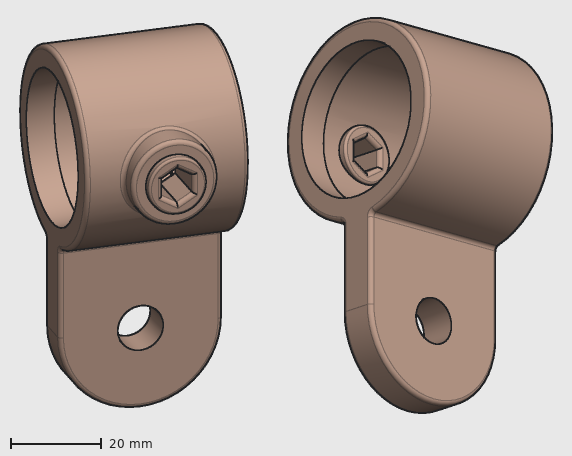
import cadquery as cq
import math

overall_width = 53.0
overall_height = 85.5

tube_diameter = 46.0
tube_length = 38.0
bore_diameter = 35.6

relief_diameter = 38.0
lip_length = 6.5

tab_thickness = 9.0
tab_end_radius = tube_length / 2
tab_hole_diameter = 10.5
tab_bottom_z = tube_diameter / 2 - overall_height
tab_hole_z = tab_bottom_z + tab_end_radius

boss_diameter = 20.0
boss_end_x = 28.05

edge_radius = 1.0

screw_diameter = 13.5
screw_inner_x = 17.0
screw_outer_x = overall_width - tube_diameter / 2
screw_edge_radius = 0.6
hexagon_edge_radius = 1.0
hexagon_across_flats = 7.0


def cylinder_along_y(diameter, length):
    """Cylinder on the Y axis, centred on the origin."""
    return cq.Workplane("XZ").circle(diameter / 2).extrude(length / 2, both=True)


def cylinder_along_x(diameter, start_x, end_x):
    """Cylinder on the X axis between two X positions."""
    return cq.Workplane("YZ").workplane(offset=start_x).circle(diameter / 2).extrude(end_x - start_x)


def make_tab():
    """Plate with a round lower end, reaching up to the tube axis."""
    return (
        cq.Workplane("YZ")
        .moveTo(-tab_end_radius, 0)
        .lineTo(-tab_end_radius, tab_hole_z)
        .threePointArc((0, tab_bottom_z), (tab_end_radius, tab_hole_z))
        .lineTo(tab_end_radius, 0)
        .close()
        .extrude(tab_thickness / 2, both=True)
    )


def make_clamp_outside():
    """Tube with tab, blended together and with all outer edges rounded."""
    body = cylinder_along_y(tube_diameter, tube_length).union(make_tab())

    corner_z = -math.sqrt((tube_diameter / 2) ** 2 - (tab_thickness / 2) ** 2)
    corner_zone = cq.selectors.BoxSelector(
        (-tab_thickness, -tube_length, corner_z - edge_radius),
        (tab_thickness, tube_length, corner_z + edge_radius),
    )
    body = body.edges("|Y").edges(corner_zone).fillet(edge_radius)

    return body.edges("<Y or >Y").fillet(edge_radius)


def add_boss(body):
    """Round boss on +X, blended into the tube and rounded at its free end."""
    boss = cylinder_along_x(boss_diameter, 0, boss_end_x)
    boss = boss.faces(">X").edges().fillet(edge_radius)
    root_zone = cq.selectors.BoxSelector(
        (tube_diameter / 4, -boss_diameter / 2, -boss_diameter / 2),
        (tube_diameter / 2, boss_diameter / 2, boss_diameter / 2),
    )
    return body.union(boss).edges(root_zone).fillet(edge_radius)


def make_clamp():
    """Complete clamp with bore, relief, screw hole and tab hole."""
    body = add_boss(make_clamp_outside())
    body = body.cut(cylinder_along_y(bore_diameter, tube_length))
    body = body.cut(cylinder_along_y(relief_diameter, tube_length - 2 * lip_length))
    body = body.cut(cylinder_along_x(screw_diameter, 0, screw_outer_x))
    tab_hole = cylinder_along_x(tab_hole_diameter, -tab_thickness, tab_thickness)
    return body.cut(tab_hole.translate((0, 0, tab_hole_z)))


def make_screw():
    """Cylindrical set screw with a hexagon hole through it, its end edges rounded."""
    screw = cylinder_along_x(screw_diameter, screw_inner_x, screw_outer_x)
    hexagon = (
        cq.Workplane("YZ")
        .workplane(offset=screw_inner_x)
        .transformed(rotate=(0, 0, 90))
        .polygon(6, hexagon_across_flats / math.cos(math.pi / 6))
        .extrude(screw_outer_x - screw_inner_x)
    )
    screw = screw.edges("%CIRCLE").fillet(screw_edge_radius).cut(hexagon)
    return screw.faces("<X or >X").edges("%LINE").fillet(hexagon_edge_radius)


clamp = make_clamp()
screw = make_screw()
result = cq.Compound.makeCompound([clamp.val(), screw.val()])